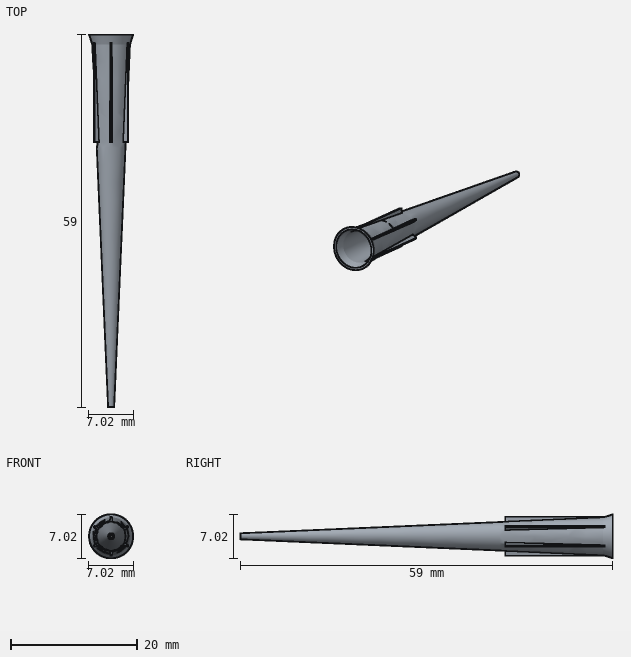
import cadquery as cq

length = 59.0
mouth_y = length / 2
tip_y = -length / 2

rim_radius = 3.51
collar_radius = 3.0
tip_radius = 0.5

flare_length = 1.55
collar_y = mouth_y - flare_length

wall = 0.4
mouth_bore_radius = rim_radius - wall
collar_bore_radius = collar_radius - wall
tip_bore_radius = 0.205

rib_count = 6
rib_radius = 3.1
rib_root_radius = 2.1
rib_root_width = 0.5
rib_crest_width = 0.25
rib_start_depth = 1.1
rib_end_depth = 17.05


def make_flared_cone(mouth_radius, neck_radius, end_radius):
    """Solid of revolution about Y: a short flare followed by a long taper."""
    profile = [
        (0, mouth_y),
        (mouth_radius, mouth_y),
        (neck_radius, collar_y),
        (end_radius, tip_y),
        (0, tip_y),
    ]
    return cq.Workplane("XY").polyline(profile).close().revolve(360, (0, 0), (0, 1))


def make_rib(angle):
    """Straight rib reaching from the root inside the wall to a narrow crest, turned about Y."""
    half_root = rib_root_width / 2
    half_crest = rib_crest_width / 2
    section = [
        (rib_root_radius, -half_root),
        (rib_radius, -half_crest),
        (rib_radius, half_crest),
        (rib_root_radius, half_root),
    ]
    rib = (
        cq.Workplane("XZ", origin=(0, mouth_y - rib_start_depth, 0))
        .polyline(section)
        .close()
        .extrude(rib_end_depth - rib_start_depth)
    )
    return rib.rotate((0, 0, 0), (0, 1, 0), angle)


result = make_flared_cone(rim_radius, collar_radius, tip_radius)
rib_pitch = 360 / rib_count
for index in range(rib_count):
    result = result.union(make_rib((index + 0.5) * rib_pitch))

result = result.cut(make_flared_cone(mouth_bore_radius, collar_bore_radius, tip_bore_radius))